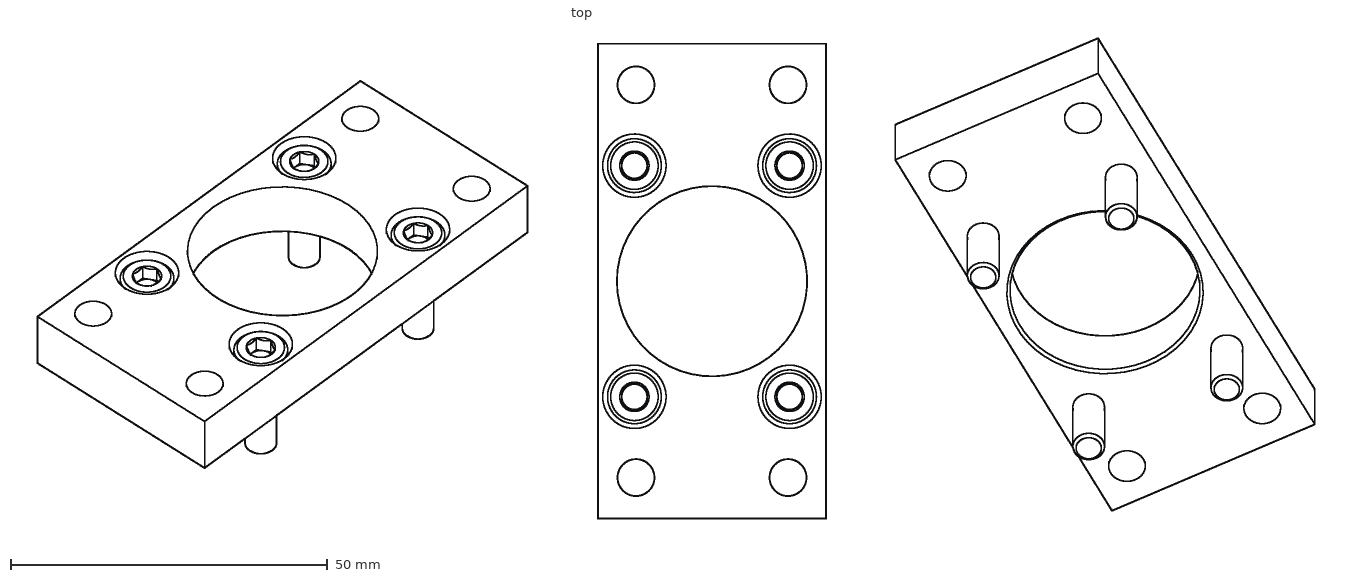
import cadquery as cq
import math

plate_width = 36.0
plate_length = 75.0
plate_thickness = 10.0
bore_diameter = 30.0
bore_bottom_chamfer = 0.5

mounting_hole_diameter = 5.8
mounting_pitch_x = 24.0
mounting_pitch_y = 62.0

screw_pitch_x = 24.5
screw_pitch_y = 36.5
shank_diameter = 5.0
shank_length = 16.0
shank_end_chamfer = 0.5
head_diameter = 8.5
head_height = 5.0
head_edge_chamfer = 0.5
socket_across_flats = 4.0
hexagon_half_angle = 30.0
socket_across_corners = socket_across_flats / math.cos(math.radians(hexagon_half_angle))
socket_depth = 2.5
socket_floor_cone_angle = 120.0
socket_rotation = 90.0

counterbore_diameter = 10.0
head_recess = 0.7
counterbore_depth = head_recess + head_height


def make_plate():
    """Rectangular plate with a bore chamfered underneath, corner holes and counterbored screw holes."""
    block = cq.Workplane("XY", origin=(0, 0, -plate_thickness / 2)).box(
        plate_width, plate_length, plate_thickness
    )
    bored = (
        block.faces(">Z")
        .workplane()
        .hole(bore_diameter)
        .faces("<Z")
        .edges("%CIRCLE")
        .chamfer(bore_bottom_chamfer)
    )
    return (
        bored.faces(">Z")
        .workplane(origin=(0, 0, 0))
        .rarray(mounting_pitch_x, mounting_pitch_y, 2, 2)
        .hole(mounting_hole_diameter)
        .faces(">Z")
        .workplane(origin=(0, 0, 0))
        .rarray(screw_pitch_x, screw_pitch_y, 2, 2)
        .cboreHole(shank_diameter, counterbore_diameter, counterbore_depth)
    )


def make_cone(diameter, height, top_z):
    """Cone with its base at top_z and its tip pointing down."""
    return cq.Workplane(
        cq.Solid.makeCone(diameter / 2, 0, height, pnt=(0, 0, top_z), dir=(0, 0, -1))
    )


def make_socket():
    """Hexagonal key socket below Z = 0, with a conical floor and a countersunk mouth."""
    hexagon = (
        cq.Workplane("XY")
        .polygon(6, socket_across_corners)
        .extrude(-socket_depth)
        .rotate((0, 0, 0), (0, 0, 1), socket_rotation)
    )
    floor_slope = math.tan(math.radians(socket_floor_cone_angle / 2))
    floor_cone_height = socket_across_flats / 2 / floor_slope
    floor_cone = make_cone(socket_across_flats, floor_cone_height, -socket_depth)
    mouth_cone_height = socket_across_corners / 2
    mouth_cone = make_cone(socket_across_corners, mouth_cone_height, 0)
    return hexagon.union(floor_cone).union(mouth_cone)


def make_screw():
    """Cap screw along Z with the top of its head on Z = 0."""
    head = (
        cq.Workplane("XY")
        .circle(head_diameter / 2)
        .extrude(-head_height)
        .faces(">Z")
        .edges()
        .chamfer(head_edge_chamfer)
    )
    shank = (
        cq.Workplane("XY", origin=(0, 0, -head_height))
        .circle(shank_diameter / 2)
        .extrude(-shank_length)
        .faces("<Z")
        .chamfer(shank_end_chamfer)
    )
    return head.union(shank).cut(make_socket())


plate = make_plate()

screw = make_screw()
screws = []
for side_x in (-1, 1):
    for side_y in (-1, 1):
        position = (side_x * screw_pitch_x / 2, side_y * screw_pitch_y / 2, -head_recess)
        screws.append(screw.translate(position).solids().val())

result = cq.Compound.makeCompound([plate.solids().val(), *screws])